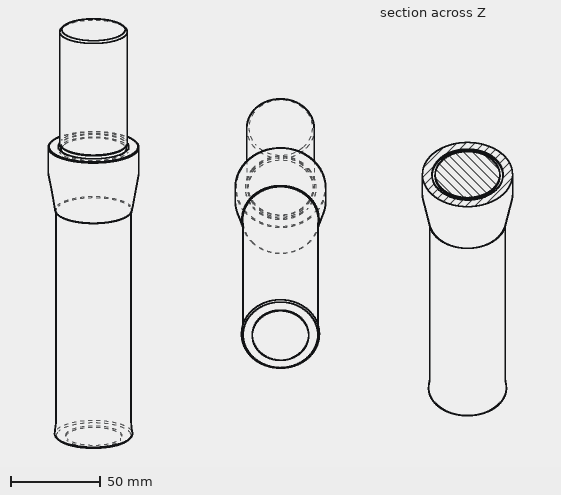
import cadquery as cq

TOTAL_LENGTH = 243.3
FLANGE_BOTTOM = 1.0
FLARE_TOP = 8.3
TAPER_BOTTOM = 135.8
COLLAR_BOTTOM = 157.5
COLLAR_TOP = 173.5
SHOULDER = 174.7

STEM_RADIUS = 42.3 / 2
COLLAR_RADIUS = 50.9 / 2
COLLAR_CHAMFER = 0.5
FLANGE_RADIUS = 43.8 / 2
TAPER_LIP = 0.5
FLANGE_CHAMFER = 1.0
FOOT_RADIUS = 31.6 / 2
MOUTH_RADIUS = 39.7 / 2
MOUTH_DEPTH = 1.5

ROD_RADIUS = 38.0 / 2
NECK_RADIUS = 36.5 / 2
ROD_TOP_CHAMFER = 1.2
NECK_BOTTOM = COLLAR_TOP - MOUTH_DEPTH


def revolve_profile(points):
    """Turn a closed (radius, height) outline about the Z axis."""
    return cq.Workplane("XZ").polyline(points).close().revolve(360, (0, 0), (0, 1))


def make_housing():
    """Solid stem with a flared foot and a tapered collar, recessed at its top."""
    return revolve_profile([
        (0, 0),
        (FOOT_RADIUS, 0),
        (FOOT_RADIUS, FLANGE_BOTTOM),
        (FLANGE_RADIUS - FLANGE_CHAMFER, FLANGE_BOTTOM),
        (FLANGE_RADIUS, FLANGE_BOTTOM + FLANGE_CHAMFER),
        (STEM_RADIUS, FLARE_TOP),
        (STEM_RADIUS, TAPER_BOTTOM - TAPER_LIP),
        (STEM_RADIUS + TAPER_LIP, TAPER_BOTTOM),
        (COLLAR_RADIUS, COLLAR_BOTTOM),
        (COLLAR_RADIUS, COLLAR_TOP - COLLAR_CHAMFER),
        (COLLAR_RADIUS - COLLAR_CHAMFER, COLLAR_TOP),
        (MOUTH_RADIUS, COLLAR_TOP),
        (MOUTH_RADIUS, NECK_BOTTOM),
        (0, NECK_BOTTOM),
    ])


def make_rod():
    """Round rod with a chamfered top and a narrower neck standing in the recess."""
    return revolve_profile([
        (0, NECK_BOTTOM),
        (NECK_RADIUS, NECK_BOTTOM),
        (NECK_RADIUS, SHOULDER),
        (ROD_RADIUS, SHOULDER + ROD_RADIUS - NECK_RADIUS),
        (ROD_RADIUS, TOTAL_LENGTH - ROD_TOP_CHAMFER),
        (ROD_RADIUS - ROD_TOP_CHAMFER, TOTAL_LENGTH),
        (0, TOTAL_LENGTH),
    ])


housing = make_housing()
rod = make_rod()
result = cq.Compound.makeCompound([housing.val(), rod.val()])